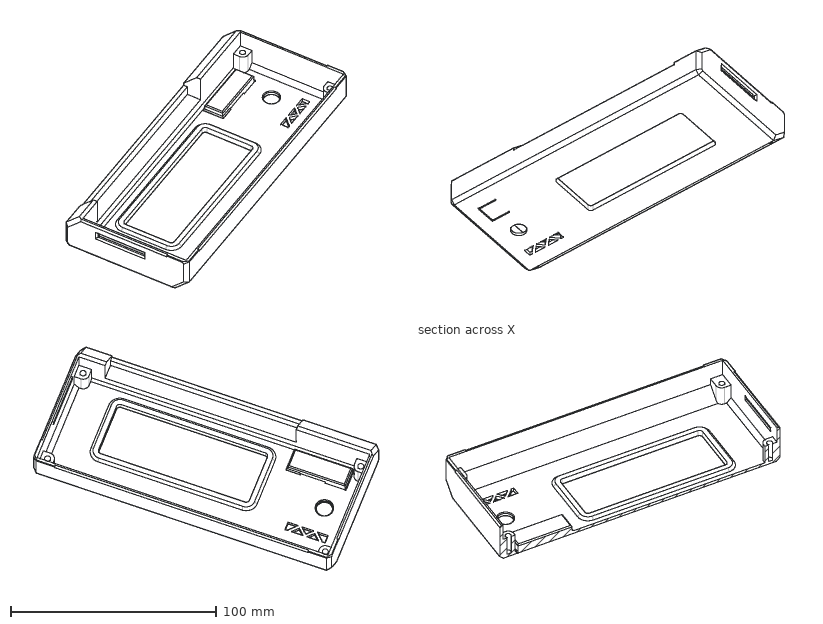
import cadquery as cq

width = 69.6
length = 155.0
height = 22.0

top_left_bevel = 7.5
low_right_bevel = 8.0
edge_bevel = 2.0
rim_bevel = 1.0
corner_rim_bevel = 0.3
corner_rim_length = 11.6

floor_thickness = 2.0
end_wall = 1.9
side_wall = 1.7
left_wall = 9.6
left_floor_bevel = 1.4
right_floor_bevel = 7.0
end_floor_bevel = 2.5

notch_y_min = -62.0
notch_y_max = 37.4
notch_lip_width = 2.2
notch_lip_z = 13.2
notch_shelf_z = 8.0

post_top_z = 12.7
post_radius = 3.1
post_margin = 3.3
screw_diameter = 3.0
screw_x_left = -21.9
screw_x_right = 27.6
screw_y = 72.2

window_x = -2.5
window_y = -13.0
window_width = 28.4
window_length = 78.5
window_radius = 1.7
frame_margin = 4.0
frame_height = 1.4

round_hole_x = 0.6
round_hole_y = 61.7
round_hole_diameter = 8.0
round_hole_bevel = 0.5

grille_x = 16.1
grille_y = 58.1
grille_width = 4.2
grille_length = 20.8
zigzag_pitch = 4.0
zigzag_legs = 4
rib_width = 1.5

tab_x = -17.8
tab_width = 10.2
tab_y_min = 37.5
tab_y_max = 67.5
tab_top_z = 5.5
tab_bevel = 0.6
tab_gap = 0.6
tab_opening_y_min = 57.4
tab_foot_y_max = 44.5
tab_foot_margin = 0.6
tab_foot_top_z = floor_thickness + 0.8

slot_x = -3.1
slot_z = 15.7
slot_width = 28.2
slot_height = 4.3
slot_bevel = 1.0

left = -width / 2
right = width / 2
end_y = length / 2
cavity_left = left + left_wall
cavity_right = right - side_wall
cavity_end = end_y - end_wall


def box(x_range, y_range, z_range):
    """Box spanning the given (min, max) ranges."""
    size = [upper - lower for lower, upper in (x_range, y_range, z_range)]
    corner = (x_range[0], y_range[0], z_range[0])
    return cq.Workplane("XY").box(*size, centered=False).translate(corner)


def outer_body(bevel):
    """Solid envelope whose top rim carries the given bevel.

    The body is built taller than needed with full edge bevels, so that trimming it
    to the real height leaves only the requested part of the bevel on the rim.
    """
    extra = edge_bevel - bevel
    tall = height + extra
    profile = [
        (left + edge_bevel, 0),
        (right - low_right_bevel, 0),
        (right, low_right_bevel),
        (right, tall - edge_bevel),
        (right - edge_bevel, tall),
        (left + top_left_bevel + extra, tall),
        (left, height - top_left_bevel),
        (left, edge_bevel),
    ]
    body = cq.Workplane("XZ").polyline(profile).close().extrude(end_y, both=True)
    body = body.faces("<Y or >Y").chamfer(edge_bevel)
    return body.intersect(box((left, right), (-end_y, end_y), (0, height)))


def cavity():
    """Open-topped cavity with bevels where the walls meet the floor."""
    across = [
        (cavity_left, height),
        (cavity_left, floor_thickness + left_floor_bevel),
        (cavity_left + left_floor_bevel, floor_thickness),
        (cavity_right - right_floor_bevel, floor_thickness),
        (cavity_right, floor_thickness + right_floor_bevel),
        (cavity_right, height),
    ]
    along = [
        (-cavity_end, height),
        (-cavity_end, floor_thickness + end_floor_bevel),
        (-cavity_end + end_floor_bevel, floor_thickness),
        (cavity_end - end_floor_bevel, floor_thickness),
        (cavity_end, floor_thickness + end_floor_bevel),
        (cavity_end, height),
    ]
    across_prism = cq.Workplane("XZ").polyline(across).close().extrude(end_y, both=True)
    along_prism = cq.Workplane("YZ").polyline(along).close().extrude(width, both=True)
    return across_prism.intersect(along_prism)


def notch():
    """Two-level cut leaving a thin outer lip and a lower shelf behind it."""
    y_range = (notch_y_min, notch_y_max)
    lip_cut = box((left, cavity_left), y_range, (notch_lip_z, height))
    shelf_cut = box((left + notch_lip_width, cavity_left), y_range, (notch_shelf_z, height))
    return lip_cut.union(shelf_cut)


def post(x_side, y_side):
    """Corner post reaching from the cavity corner past its screw hole."""
    screw_x = screw_x_right if x_side > 0 else screw_x_left
    wall_x = cavity_right if x_side > 0 else cavity_left
    x_range = sorted((wall_x, screw_x - x_side * post_margin))
    y_range = sorted((y_side * cavity_end, y_side * (screw_y - post_margin)))
    free_edge = "|Z and {}X and {}Y".format("<" if x_side > 0 else ">", "<" if y_side > 0 else ">")
    block = box(x_range, y_range, (0, post_top_z)).edges(free_edge).fillet(post_radius)
    return block.intersect(envelope)


def window_block(margin, base_z, depth, taper=0):
    """Rounded block over the window, grown by a margin and optionally tapering upwards."""
    outline = (
        cq.Sketch()
        .rect(window_width + 2 * margin, window_length + 2 * margin)
        .vertices()
        .fillet(window_radius + margin)
    )
    plane = cq.Workplane("XY", origin=(window_x, window_y, base_z))
    return plane.placeSketch(outline).extrude(depth, taper=taper)


def round_hole():
    """Through hole with a small bevel at the floor."""
    radius = round_hole_diameter / 2
    hole = cq.Workplane("XY").circle(radius).extrude(floor_thickness)
    mouth = cq.Solid.makeCone(
        radius, radius + round_hole_bevel, round_hole_bevel,
        pnt=cq.Vector(0, 0, floor_thickness - round_hole_bevel),
    )
    return hole.union(cq.Workplane(mouth)).translate((round_hole_x, round_hole_y, 0))


def grille():
    """Rectangular opening less the zigzag rib that crosses it."""
    opening = cq.Workplane("XY").rect(grille_width, grille_length).extrude(floor_thickness)
    for leg in range(zigzag_legs):
        leg_y = (leg - (zigzag_legs - 1) / 2) * zigzag_pitch
        angle = 45 if leg % 2 else -45
        rib = cq.Workplane("XY").rect(2 * zigzag_pitch, rib_width).extrude(floor_thickness)
        rib = rib.rotate((0, 0, 0), (0, 0, 1), angle).translate((0, leg_y, 0))
        leg_band = box(
            (-grille_width, grille_width),
            (leg_y - zigzag_pitch / 2 - rib_width / 2, leg_y + zigzag_pitch / 2 + rib_width / 2),
            (0, floor_thickness),
        )
        opening = opening.cut(rib.intersect(leg_band))
    return opening.translate((grille_x, grille_y, 0))


def tab_block(margin, y_range, top_z, bevel):
    """Bevelled block centred on the tab, grown sideways by a margin."""
    half = tab_width / 2 + margin
    block = box((tab_x - half, tab_x + half), y_range, (0, top_z))
    return block.faces(">Z").chamfer(bevel)


def card_slot():
    """Slot through the -Y wall, tapering inwards over its outer bevel."""
    inner_width = slot_width - 2 * slot_bevel
    inner_height = slot_height - 2 * slot_bevel
    mouth = (
        cq.Workplane("XZ", origin=(slot_x, -end_y, slot_z))
        .rect(slot_width, slot_height)
        .workplane(offset=-slot_bevel)
        .rect(inner_width, inner_height)
        .loft()
    )
    throat = cq.Workplane("XZ", origin=(slot_x, -end_y, slot_z)).rect(inner_width, inner_height)
    return mouth.union(throat.extrude(-end_wall))


envelope = outer_body(rim_bevel)
fine_rim_body = outer_body(corner_rim_bevel)
for y_range in ((-end_y, corner_rim_length - end_y), (end_y - corner_rim_length, end_y)):
    corner = box((right - corner_rim_length, right), y_range, (0, height))
    envelope = envelope.union(fine_rim_body.intersect(corner))

result = envelope.cut(cavity()).cut(notch())

for x_side in (-1, 1):
    for y_side in (-1, 1):
        result = result.union(post(x_side, y_side))
screw_points = [(x, y) for x in (screw_x_left, screw_x_right) for y in (-screw_y, screw_y)]
screw_holes = (
    cq.Workplane("XY", origin=(0, 0, floor_thickness))
    .pushPoints(screw_points)
    .circle(screw_diameter / 2)
    .extrude(post_top_z - floor_thickness)
)
result = result.cut(screw_holes)

frame = window_block(frame_margin, floor_thickness, frame_height, taper=45)
result = result.union(frame).cut(window_block(0, 0, floor_thickness + frame_height))

result = result.cut(round_hole()).cut(grille())
opening_half = tab_width / 2 + tab_gap
tab_opening = box(
    (tab_x - opening_half, tab_x + opening_half),
    (tab_opening_y_min, tab_y_max + tab_gap),
    (0, floor_thickness),
)
result = result.cut(tab_opening)

tab = tab_block(0, (tab_y_min, tab_y_max), tab_top_z, tab_bevel)
foot_y_range = (tab_y_min - tab_foot_margin, tab_foot_y_max)
foot = tab_block(tab_foot_margin, foot_y_range, tab_foot_top_z, tab_foot_margin)
result = result.union(tab).union(foot)

result = result.cut(card_slot())